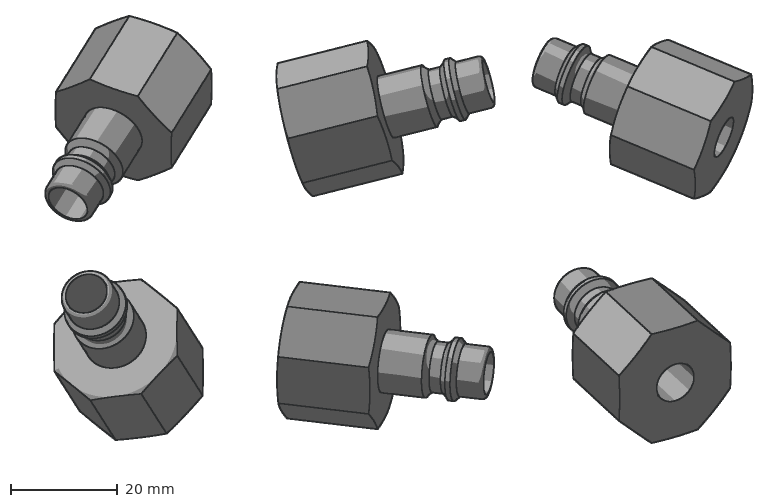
import cadquery as cq
import math

total_length = 38.0
across_flats = 24.0
body_length = 18.0
bore_diameter = 8.05

shank_radius = 6.0
groove_radius = 4.85
tip_radius = 5.0
tip_rounding = 0.75
groove_flank_radius = 3.0

collar_cone_start = 5.0
collar_start = 6.0
collar_end = 7.0
groove_start = 8.15
groove_end = 10.35
shank_start = 11.5

chamfer_angle = 15.0
octagon_sides = 8
corner_radius = across_flats / 2 / math.cos(math.pi / octagon_sides)
chamfer_depth = (corner_radius - across_flats / 2) * math.tan(math.radians(chamfer_angle))

nipple_length = total_length - body_length


def revolve_about_y(outline):
    """Revolve a closed (radius, y) outline about the Y axis."""
    return outline.close().revolve(360, (0, 0, 0), (0, 1, 0))


def make_body():
    """Octagonal body with flats square to X and Z and turned-down corners."""
    octagon = (
        cq.Workplane("XZ")
        .polygon(octagon_sides, 2 * corner_radius)
        .extrude(-body_length)
        .rotate((0, 0, 0), (0, 1, 0), 180 / octagon_sides)
        .translate((0, nipple_length, 0))
    )
    blank_outline = cq.Workplane("XY").polyline([
        (0, nipple_length),
        (across_flats / 2, nipple_length),
        (corner_radius, nipple_length + chamfer_depth),
        (corner_radius, total_length - chamfer_depth),
        (across_flats / 2, total_length),
        (0, total_length),
    ])
    return octagon.intersect(revolve_about_y(blank_outline))


def make_nipple():
    """Stepped plug with a concave-sided locking groove, a collar and a rounded tip."""
    outline = (
        cq.Workplane("XY")
        .lineTo(tip_radius, 0)
        .lineTo(tip_radius, collar_cone_start)
        .lineTo(shank_radius, collar_start)
        .lineTo(shank_radius, collar_end)
        .radiusArc((groove_radius, groove_start), groove_flank_radius)
        .lineTo(groove_radius, groove_end)
        .radiusArc((shank_radius, shank_start), groove_flank_radius)
        .lineTo(shank_radius, nipple_length)
        .lineTo(0, nipple_length)
    )
    nipple = revolve_about_y(outline)
    return nipple.faces("<Y").edges().fillet(tip_rounding)


bore = cq.Workplane("XZ").circle(bore_diameter / 2).extrude(-total_length)
result = make_body().union(make_nipple()).cut(bore)